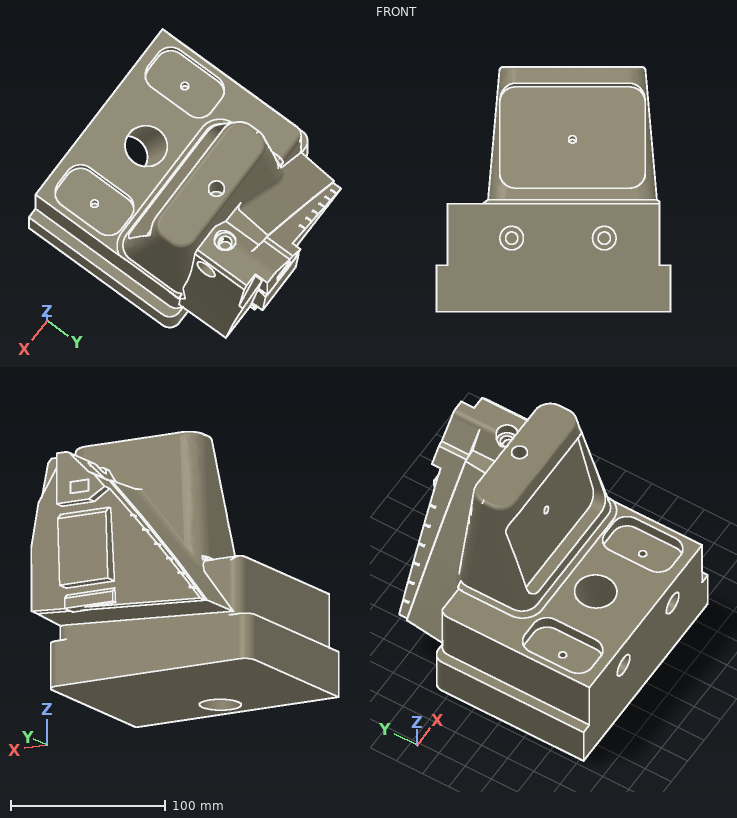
import cadquery as cq
import math


BASE_WIDTH = 152.0
BASE_DEPTH = 115.9
FLANGE_HEIGHT = 30.5
BLOCK_WIDTH = 137.6
BLOCK_TOP = 70.2
BASE_CORNER_RADIUS = 7.6
BLOCK_TOP_RADIUS = 3.7

TOTAL_HEIGHT = 159.0
TOWER_ROOT = 63.2
TOWER_X = 12.3
TOWER_BOTTOM_WIDTH = 110.0
TOWER_TOP_WIDTH = 94.5
TOWER_BOTTOM_FRONT = 63.0
TOWER_BOTTOM_BACK = 121.7
TOWER_TOP_FRONT = 85.3
TOWER_TOP_BACK = 114.5
TOWER_CORNER_RADIUS = 11.6
TOWER_TOP_FILLET = 2.7
FOOT_SPREAD = 3.2
FOOT_HEIGHT = 2.7

RECESS_WIDTH = 94.1
RECESS_LOW = 80.3
RECESS_HIGH = 148.3
RECESS_DEPTH = 10
RECESS_RADIUS = 10
SMALL_HOLE_DIAMETER = 5
SMALL_HOLE_DEPTH = 10

LIFT_HOLE_X = 12.3
LIFT_HOLE_Y = 104.2
LIFT_HOLE_DIAMETER = 10.3
LIFT_HOLE_DEPTH = 30

SLANT_HOLE_Y = 38.2
SLANT_HOLE_DIAMETER = 27.0
SLANT_ANGLE = 13

POCKET_X = 48.9
POCKET_Y = 32.9
POCKET_WIDTH = 31.0
POCKET_LENGTH = 51.0
POCKET_RADIUS = 10.3
POCKET_DEPTH = 10

FRONT_HOLE_XS = (-27.1, 32.9)
FRONT_HOLE_Z = 47.9
FRONT_BORE_DIAMETER = 15.3
FRONT_BORE_DEPTH = 20
FRONT_HOLE_DIAMETER = 8.0
FRONT_HOLE_DEPTH = 39.9

JAW_START = 109.7
JAW_SEAM = 144.6
JAW_BLEND_RADIUS = 3.3
NOSE_END = 165.7
JAW_FRONT_DRAFT = 3.3
JAW_FRONT_DROP = 1.5
JAW_INSET = 1.3
JAW_LEFT_X = -61.2
JAW_LEFT_Z = 33.7
JAW_MID_X = -22.6
JAW_MID_Z = 84.1
JAW_SHOULDER_X = 10.6
JAW_SHOULDER_Z = 123.7
JAW_VALLEY_Z = 125.2
ROOT_VALLEY_X = 19.6
TIP_VALLEY_X = 15.3
RIB_SIDE_X = 28.0
RIB_SIDE_Z = 137.8
RIB_LEFT_X = 32.9
RIB_TOP = 140.8
RIB_RIGHT_X = 48.9
RIB_EDGE_X = 51.5
SIDE_UPPER = (57.0, 111.4)
SIDE_LOWER = (64.0, 83.1)
JAW_RIGHT_X = 66.2
JAW_RIGHT_Z = 41.5

BACK_LOW_Y = 151.3
BACK_LOW_Z = 34.4
BACK_HIGH_Y = 159.1
BACK_HIGH_Z = 113
NOSE_LEFT = 3.3
NOSE_RIGHT = 39.4
NOSE_LEFT_Z = 113.9
NOSE_BOTTOM_X = 15.3
NOSE_BOTTOM = 106.9
NOSE_LIP = (13.5, 1.3, 7.6)
NOSE_LIP_X = 22.1
NOSE_LIP_Z = 116.2
NOSE_LIP_END = 166.2
PADS = ((53.2, 97.3, 161.8, 164.2), (39.0, 45.9, 155.5, 155.5))
PAD_BEVEL = 3.7
LEDGE_Y = 156.0
LEDGE_HIGH_Z = 136.3

VENT_COUNT = 6
VENT_TOP_Z = 94.5
VENT_PITCH_Z = 10.5
VENT_LENGTH = 4.2
VENT_DEPTH = 1.7
VENT_THICKNESS = 0.7

PIN_Y = 126.7
PIN_BORE_DIAMETER = 14.0
PIN_BORE_DEPTH = 8.3
PIN_HOLE_DIAMETER = 8.8
PIN_HOLE_DEPTH = 23.3
SIDE_PIN_Z = 128


def box(x0, x1, y0, y1, z0, z1):
    return cq.Workplane("XY").box(x1 - x0, y1 - y0, z1 - z0, centered=False).translate((x0, y0, z0))


def rod(diameter, length, start, direction):
    cylinder = cq.Solid.makeCylinder(diameter / 2, length, cq.Vector(*start), cq.Vector(*direction))
    return cq.Workplane(cylinder)


def stepped_hole(bore, bore_depth, hole, hole_depth, start, direction):
    return rod(bore, bore_depth, start, direction).union(rod(hole, hole_depth, start, direction))


def extrude_y(outline, y0, y1):
    """Move an outline drawn in XZ to y0 and extrude it back to y1."""
    return outline.extrude(y0 - y1).translate((0, y0, 0))


def back_y(z):
    """Y of the jaw's sloping back face at height z."""
    return BACK_LOW_Y + (z - BACK_LOW_Z) * (BACK_HIGH_Y - BACK_LOW_Y) / (BACK_HIGH_Z - BACK_LOW_Z)


def make_base():
    flange = (
        cq.Workplane("XY")
        .box(BASE_WIDTH, BASE_DEPTH, FLANGE_HEIGHT, centered=(True, False, False))
        .edges("|Z and >Y")
        .fillet(BASE_CORNER_RADIUS)
    )
    block = cq.Workplane("XY").box(BLOCK_WIDTH, BASE_DEPTH, BLOCK_TOP, centered=(True, False, False))
    round_corners = block.edges("|Z and >Y").fillet(BASE_CORNER_RADIUS)
    round_top = block.faces(">Z").edges(">Y").fillet(BLOCK_TOP_RADIUS)
    block = round_corners.intersect(round_top)
    return flange.union(block)


def tower_section(z, spread=0):
    """Rounded rectangle across the tower at height z, optionally grown on all sides."""
    share = (z - BLOCK_TOP) / (TOTAL_HEIGHT - BLOCK_TOP)
    width = TOWER_BOTTOM_WIDTH + share * (TOWER_TOP_WIDTH - TOWER_BOTTOM_WIDTH) + 2 * spread
    front = TOWER_BOTTOM_FRONT + share * (TOWER_TOP_FRONT - TOWER_BOTTOM_FRONT) - spread
    back = TOWER_BOTTOM_BACK + share * (TOWER_TOP_BACK - TOWER_BOTTOM_BACK) + spread
    sketch = cq.Sketch().rect(width, back - front).vertices().fillet(TOWER_CORNER_RADIUS + spread)
    return sketch.moved(cq.Location(cq.Vector(TOWER_X, (front + back) / 2, z)))


def make_tower():
    tower = (
        cq.Workplane("XY")
        .placeSketch(tower_section(TOWER_ROOT), tower_section(TOTAL_HEIGHT))
        .loft(ruled=True)
        .faces(">Z")
        .edges()
        .fillet(TOWER_TOP_FILLET)
    )
    foot = (
        cq.Workplane("XY")
        .placeSketch(tower_section(BLOCK_TOP, FOOT_SPREAD), tower_section(BLOCK_TOP + FOOT_HEIGHT))
        .loft(ruled=True)
    )
    above_block = box(-BLOCK_WIDTH / 2, BLOCK_WIDTH / 2, 0, BASE_DEPTH, 0, TOTAL_HEIGHT)
    return tower.union(foot.intersect(above_block))


def make_recess():
    slope = (TOWER_TOP_FRONT - TOWER_BOTTOM_FRONT) / (TOTAL_HEIGHT - BLOCK_TOP)
    middle_z = (RECESS_LOW + RECESS_HIGH) / 2
    middle_y = TOWER_BOTTOM_FRONT + slope * (middle_z - BLOCK_TOP)
    height = (RECESS_HIGH - RECESS_LOW) * math.hypot(1, slope)
    face = cq.Plane(origin=(TOWER_X, middle_y, middle_z), xDir=(1, 0, 0), normal=(0, -1, slope))
    pocket = (
        cq.Workplane(face)
        .workplane(offset=-RECESS_DEPTH)
        .rect(RECESS_WIDTH, height)
        .extrude(2 * RECESS_DEPTH)
        .edges(cq.selectors.ParallelDirSelector(face.zDir))
        .fillet(RECESS_RADIUS)
    )
    hole = cq.Workplane(face).circle(SMALL_HOLE_DIAMETER / 2).extrude(-RECESS_DEPTH - SMALL_HOLE_DEPTH)
    return pocket.union(hole)


def make_base_holes():
    direction = (0, -math.sin(math.radians(SLANT_ANGLE)), -math.cos(math.radians(SLANT_ANGLE)))
    slant_length = 2 * BLOCK_TOP
    top_centre = cq.Vector(0, SLANT_HOLE_Y, BLOCK_TOP)
    start = top_centre - cq.Vector(*direction) * (SLANT_HOLE_DIAMETER / 2)
    holes = rod(SLANT_HOLE_DIAMETER, slant_length, start.toTuple(), direction)
    for side in (-1, 1):
        pocket = (
            cq.Workplane("XY", origin=(side * POCKET_X, POCKET_Y, BLOCK_TOP))
            .rect(POCKET_WIDTH, POCKET_LENGTH)
            .extrude(-POCKET_DEPTH)
            .edges("|Z")
            .fillet(POCKET_RADIUS)
        )
        pin_hole = rod(
            SMALL_HOLE_DIAMETER,
            POCKET_DEPTH + SMALL_HOLE_DEPTH,
            (side * POCKET_X, POCKET_Y, BLOCK_TOP),
            (0, 0, -1),
        )
        holes = holes.union(pocket).union(pin_hole)
    for x in FRONT_HOLE_XS:
        front_hole = stepped_hole(
            FRONT_BORE_DIAMETER,
            FRONT_BORE_DEPTH,
            FRONT_HOLE_DIAMETER,
            FRONT_HOLE_DEPTH,
            (x, 0, FRONT_HOLE_Z),
            (0, 1, 0),
        )
        holes = holes.union(front_hole)
    return holes


def jaw_outline(plane, inset, valley_x, drop=0):
    """Jaw outline in XZ: curved left flank, raised rib on top, steep right side."""
    return (
        plane.moveTo(JAW_RIGHT_X, JAW_RIGHT_Z - drop)
        .lineTo(JAW_LEFT_X + inset, JAW_LEFT_Z - drop)
        .threePointArc((JAW_MID_X + inset, JAW_MID_Z), (JAW_SHOULDER_X + inset, JAW_SHOULDER_Z))
        .lineTo(valley_x, JAW_VALLEY_Z)
        .lineTo(RIB_SIDE_X, RIB_SIDE_Z)
        .threePointArc(rib_round_middle(), (RIB_LEFT_X, RIB_TOP))
        .lineTo(RIB_RIGHT_X, RIB_TOP)
        .lineTo(RIB_EDGE_X, RIB_SIDE_Z)
        .lineTo(*SIDE_UPPER)
        .lineTo(*SIDE_LOWER)
        .close()
    )


def rib_round_middle():
    """Middle of the rib's rounded left edge, on an arc level with the rib top."""
    run = RIB_LEFT_X - RIB_SIDE_X
    drop = RIB_TOP - RIB_SIDE_Z
    radius = (run**2 + drop**2) / (2 * drop)
    half_angle = math.asin(run / radius) / 2
    return (RIB_LEFT_X - radius * math.sin(half_angle), RIB_TOP - radius * (1 - math.cos(half_angle)))


def make_jaw_root():
    start = cq.Workplane("XZ", origin=(0, JAW_START, 0))
    front = jaw_outline(start, -JAW_FRONT_DRAFT, ROOT_VALLEY_X, JAW_FRONT_DROP)
    back = jaw_outline(front.workplane(offset=JAW_START - JAW_SEAM), 0, ROOT_VALLEY_X)
    return back.loft(ruled=True)


def make_jaw_tip():
    tip = extrude_y(jaw_outline(cq.Workplane("XZ"), JAW_INSET, TIP_VALLEY_X), JAW_SEAM, NOSE_END)
    far_y = 2 * NOSE_END
    behind = (
        cq.Workplane("YZ")
        .moveTo(back_y(0), 0)
        .lineTo(back_y(TOTAL_HEIGHT), TOTAL_HEIGHT)
        .lineTo(far_y, TOTAL_HEIGHT)
        .lineTo(far_y, 0)
        .close()
        .extrude(BASE_WIDTH, both=True)
    )
    nose_outline = (
        cq.Workplane("XZ")
        .moveTo(NOSE_LEFT, NOSE_LEFT_Z)
        .lineTo(NOSE_BOTTOM_X, NOSE_BOTTOM)
        .lineTo(NOSE_RIGHT, NOSE_BOTTOM)
        .lineTo(NOSE_RIGHT, TOTAL_HEIGHT)
        .lineTo(NOSE_LEFT, TOTAL_HEIGHT)
        .close()
    )
    nose = extrude_y(nose_outline, JAW_SEAM, NOSE_END)
    ledge_outline = (
        cq.Workplane("XZ")
        .moveTo(NOSE_RIGHT, LEDGE_HIGH_Z)
        .lineTo(*SIDE_UPPER)
        .lineTo(SIDE_UPPER[0], TOTAL_HEIGHT)
        .lineTo(NOSE_RIGHT, TOTAL_HEIGHT)
        .close()
    )
    ledge = extrude_y(ledge_outline, LEDGE_Y, NOSE_END)
    lip_width, lip_thickness, lip_height = NOSE_LIP
    lip = box(
        NOSE_LIP_X - lip_width / 2,
        NOSE_LIP_X + lip_width / 2,
        NOSE_LIP_END - lip_thickness,
        NOSE_LIP_END,
        NOSE_LIP_Z - lip_height / 2,
        NOSE_LIP_Z + lip_height / 2,
    )
    return tip.cut(behind.cut(nose)).cut(ledge).union(lip)


def make_pads():
    """Raised pads on the jaw's back face, bevelled at their upper ends."""
    pads = cq.Workplane("XY")
    for low, high, low_y, high_y in PADS:
        side = [
            (JAW_SEAM, low),
            (low_y, low),
            (high_y, high),
            (high_y - PAD_BEVEL, high + PAD_BEVEL),
            (JAW_SEAM, high + PAD_BEVEL),
        ]
        pad = cq.Workplane("YZ", origin=(NOSE_LEFT, 0, 0)).polyline(side).close()
        pads = pads.add(pad.extrude(NOSE_RIGHT - NOSE_LEFT))
    return pads.combine()


def flank_x(z):
    """X of the tip's curved left flank at height z, from the circle through its three points."""
    ax, az = JAW_LEFT_X, JAW_LEFT_Z
    bx, bz = JAW_MID_X - ax, JAW_MID_Z - az
    cx, cz = JAW_SHOULDER_X - ax, JAW_SHOULDER_Z - az
    area = 2 * (bx * cz - bz * cx)
    centre_x = (cz * (bx**2 + bz**2) - bz * (cx**2 + cz**2)) / area
    centre_z = (bx * (cx**2 + cz**2) - cx * (bx**2 + bz**2)) / area
    side = math.copysign(1, -centre_x)
    reach = math.sqrt(centre_x**2 + centre_z**2 - (z - az - centre_z) ** 2)
    return ax + centre_x + side * reach + JAW_INSET


def make_vents():
    vents = cq.Workplane("XY")
    for index in range(VENT_COUNT):
        z = VENT_TOP_Z - index * VENT_PITCH_Z
        x = flank_x(z)
        y = back_y(z)
        slit = box(
            x - VENT_DEPTH,
            x + VENT_DEPTH,
            y - VENT_LENGTH,
            y + VENT_LENGTH,
            z - VENT_THICKNESS / 2,
            z + VENT_THICKNESS / 2,
        )
        vents = vents.add(slit)
    return vents.combine()


def make_pin_holes():
    side_run = SIDE_UPPER[0] - RIB_EDGE_X
    side_drop = RIB_SIDE_Z - SIDE_UPPER[1]
    side_x = RIB_EDGE_X + side_run * (RIB_SIDE_Z - SIDE_PIN_Z) / side_drop
    sizes = (PIN_BORE_DIAMETER, PIN_BORE_DEPTH, PIN_HOLE_DIAMETER, PIN_HOLE_DEPTH)
    top_hole = stepped_hole(*sizes, (RIB_LEFT_X, PIN_Y, RIB_TOP), (0, 0, -1))
    side_hole = stepped_hole(*sizes, (side_x, PIN_Y, SIDE_PIN_Z), (-side_drop, 0, -side_run))
    return top_hole.union(side_hole)


def blend_flank(body):
    """Fillet the corner where the jaw's curved flank meets the back of the tower."""
    corner = cq.selectors.BoxSelector(
        (JAW_LEFT_X, TOWER_TOP_BACK, BLOCK_TOP),
        (JAW_SHOULDER_X, TOWER_BOTTOM_BACK, JAW_SHOULDER_Z),
    )
    return body.edges(corner).edges(">Y").fillet(JAW_BLEND_RADIUS)


body = make_base().union(make_tower()).union(make_jaw_root())
body = blend_flank(body).union(make_jaw_tip()).union(make_pads())
lift_hole = rod(LIFT_HOLE_DIAMETER, LIFT_HOLE_DEPTH, (LIFT_HOLE_X, LIFT_HOLE_Y, TOTAL_HEIGHT), (0, 0, -1))
for cutter in (make_recess(), lift_hole, make_base_holes(), make_vents(), make_pin_holes()):
    body = body.cut(cutter)

result = body